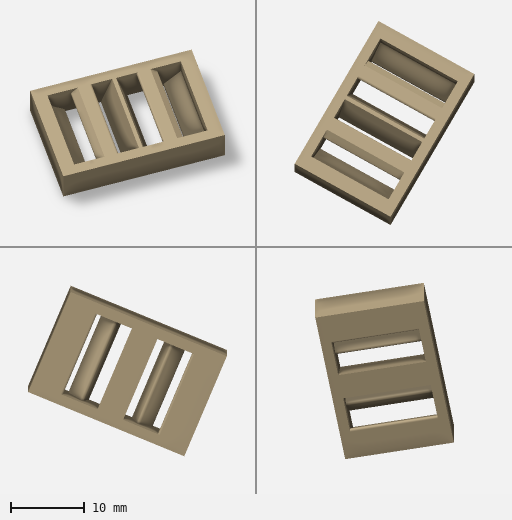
import cadquery as cq
import math

width = 15.0
length = 23.0
height = 4.7
side_wall = 1.45
end_wall = 2.0

opening_width = width - 2 * side_wall
opening_half_length = length / 2 - end_wall

ramp_height = 2.45
ramp_run = 3.04
edge_radius = 0.3

divider_top_half = 0.28
divider_base_half = 1.89

vane_inner_y = 3.05
vane_outer_y = 5.18
vane_nose_y = 6.35
vane_outer_slope = math.radians(40)

overlap = 0.12


def bar(points):
    """Extrude a Y-Z profile across the opening in X."""
    span = opening_width + 2 * overlap
    return cq.Workplane("YZ").polyline(points).close().extrude(span / 2, both=True)


def make_frame():
    opening = cq.Workplane("XY").box(
        opening_width, 2 * opening_half_length, height, centered=(True, True, False)
    )
    return cq.Workplane("XY").box(width, length, height, centered=(True, True, False)).cut(opening)


def make_divider():
    return bar([
        (-divider_base_half, 0),
        (divider_base_half, 0),
        (divider_top_half, height),
        (-divider_top_half, height),
    ])


def make_ramp():
    root_y = opening_half_length + overlap
    ramp = bar([
        (root_y, 0),
        (opening_half_length - ramp_run, 0),
        (opening_half_length, ramp_height),
        (root_y, ramp_height),
    ])
    return ramp.edges("|X and <Y").fillet(edge_radius)


def make_vane():
    inner_lean = (divider_base_half - divider_top_half) / height
    nose_depth = (vane_nose_y - vane_outer_y) * math.tan(vane_outer_slope)
    underside_steepness = ramp_height / ramp_run
    nose_overhang = vane_nose_y - vane_inner_y - inner_lean * nose_depth
    underside_drop = nose_overhang / (inner_lean + 1 / underside_steepness)
    tip_y = vane_nose_y - underside_drop / underside_steepness
    tip_z = height - nose_depth - underside_drop
    vane = bar([
        (vane_inner_y, height),
        (vane_outer_y, height),
        (vane_nose_y, height - nose_depth),
        (tip_y, tip_z),
    ])
    return vane.edges("|X and (<Y or >Y or <Z)").fillet(edge_radius)


result = make_frame().union(make_divider())
for half_bar in (make_ramp(), make_vane()):
    result = result.union(half_bar).union(half_bar.mirror("XZ"))